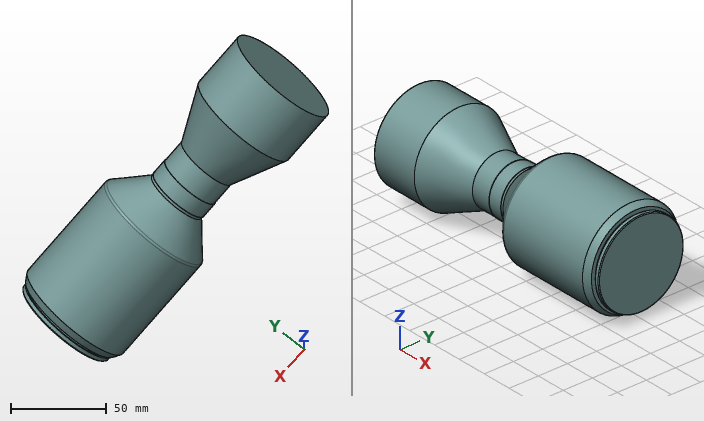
import cadquery as cq
import math

head_radius = 31.0
neck_radius = 17.1
collar_radius = 34.7 / 2
body_radius = 66.0 / 2
groove_radius = 28.0
cap_radius = 29.2

total_length = 178.1
head_end = 32.0
neck_start = 62.5
collar_start = 76.0
collar_end = 85.5
shoulder_start = 87.1
shoulder_end = 105.5
body_end = 173.8
cap_start = 175.5

shoulder_blend = 2.1
body_bevel_length = 4.3
body_bevel_angle = math.radians(30)
body_bevel_depth = body_bevel_length * math.tan(body_bevel_angle)
cap_chamfer = 0.5

shoulder_angle = math.atan2(body_radius - neck_radius, shoulder_end - shoulder_start)
blend_setback = shoulder_blend * math.tan(shoulder_angle / 2)
blend_start = (
    shoulder_end - blend_setback * math.cos(shoulder_angle),
    body_radius - blend_setback * math.sin(shoulder_angle),
)
blend_end = (shoulder_end + blend_setback, body_radius)

profile = (
    cq.Workplane("XZ")
    .lineTo(0, head_radius)
    .lineTo(head_end, head_radius)
    .lineTo(neck_start, neck_radius)
    .lineTo(collar_start, neck_radius)
    .lineTo(collar_start, collar_radius)
    .lineTo(collar_end, collar_radius)
    .lineTo(collar_end, neck_radius)
    .lineTo(shoulder_start, neck_radius)
    .lineTo(*blend_start)
    .tangentArcPoint(blend_end, relative=False)
    .lineTo(body_end - body_bevel_length, body_radius)
    .lineTo(body_end, body_radius - body_bevel_depth)
    .lineTo(body_end, groove_radius)
    .lineTo(cap_start, groove_radius)
    .lineTo(cap_start, cap_radius)
    .lineTo(total_length - cap_chamfer, cap_radius)
    .lineTo(total_length, cap_radius - cap_chamfer)
    .lineTo(total_length, 0)
    .close()
)

full_turn = 360
result = profile.revolve(full_turn, (0, 0, 0), (1, 0, 0))